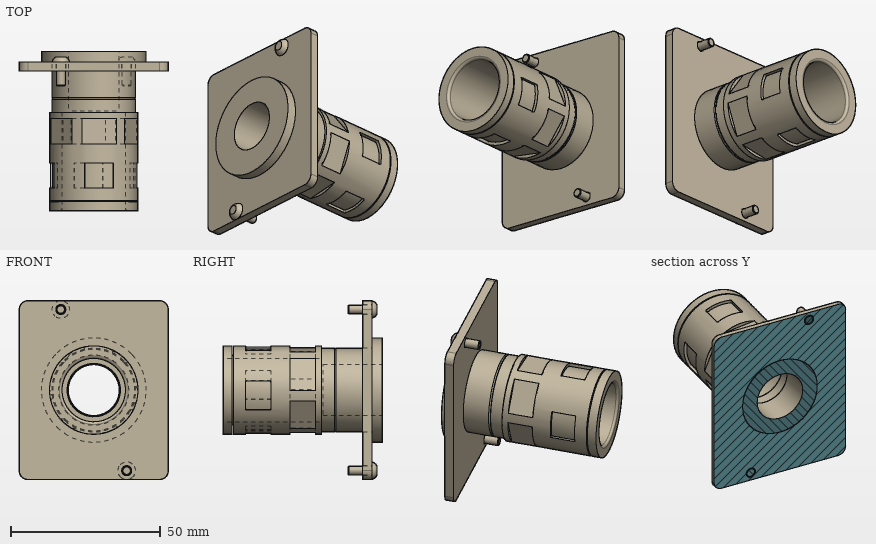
import cadquery as cq
import math


PLATE_WIDTH = 50.0
PLATE_HEIGHT = 60.0
PLATE_THICKNESS = 3.1
PLATE_CORNER_RADIUS = 3.0

TUBE_RADIUS = 14.05
TUBE_END_Y = -9.5
TUBE_CHAMFER_LENGTH = 0.6
TUBE_CHAMFER_DEPTH = 0.35
FLANGE_RADIUS = 17.5
FLANGE_THICKNESS = 3.5

PASSAGE_RADIUS = 8.5

SCREW_X = 11.05
SCREW_Z = 27.0
SHANK_RADIUS = 1.5
SHANK_TIP_Y = -4.9
SHANK_CHAMFER = 0.25
SCREW_HOLE_RADIUS = 1.7
HEAD_RADIUS = 2.95
HEAD_TOP_RADIUS = 1.55
HEAD_HEIGHT = 1.7
HEAD_BULGE = 0.2

COLLAR_RADIUS = TUBE_RADIUS
SLEEVE_START_Y = -13.8
SLEEVE_RADIUS = 14.8
GROOVE_START_Y = -43.4
GROOVE_WIDTH = 0.35
GROOVE_RADIUS = 11.75
PLUG_END_Y = -46.8
PLUG_TURN = 7.5

BORE_RADIUS = 10.6
BORE_MOUTH_FILLET = 0.9
BORE_FLOOR_Y = SLEEVE_START_Y
PASSAGE_CHAMFER = 0.4

FLAT_COUNT = 6
FLAT_START_Y = -15.9
FLAT_LENGTH = 8.5
FLAT_APOTHEM = 13.6
POCKET_COUNT = 4
POCKET_START_Y = -30.8
POCKET_LENGTH = 8.45
POCKET_WIDTH = 9.7
POCKET_FLOOR_RADIUS = 13.75
POCKET_CORNER_RADIUS = 0.35


def rod(radius, start_y, end_y):
    """Cylinder on the Y axis running from start_y towards -Y, down to end_y."""
    return cq.Workplane("XZ", origin=(0, start_y, 0)).circle(radius).extrude(start_y - end_y)


def turned(profile):
    """Solid of revolution about the Y axis from a closed (radius, y) profile."""
    return profile.close().revolve(360, (0, 0, 0), (0, 1, 0))


def make_plate():
    plate = (
        cq.Workplane("XZ")
        .rect(PLATE_WIDTH, PLATE_HEIGHT)
        .extrude(-PLATE_THICKNESS)
        .edges("|Y")
        .fillet(PLATE_CORNER_RADIUS)
    )
    plate = plate.cut(rod(TUBE_RADIUS, PLATE_THICKNESS, 0))
    for side in (-1, 1):
        screw_hole = rod(SCREW_HOLE_RADIUS, PLATE_THICKNESS, 0)
        plate = plate.cut(screw_hole.translate((side * SCREW_X, 0, -side * SCREW_Z)))
    return plate


def make_receptacle():
    flange_back_y = PLATE_THICKNESS + FLANGE_THICKNESS
    profile = (
        cq.Workplane("XY")
        .moveTo(PASSAGE_RADIUS, flange_back_y)
        .lineTo(FLANGE_RADIUS, flange_back_y)
        .lineTo(FLANGE_RADIUS, PLATE_THICKNESS)
        .lineTo(TUBE_RADIUS, PLATE_THICKNESS)
        .lineTo(TUBE_RADIUS, TUBE_END_Y + TUBE_CHAMFER_LENGTH)
        .lineTo(TUBE_RADIUS - TUBE_CHAMFER_DEPTH, TUBE_END_Y)
        .lineTo(PASSAGE_RADIUS, TUBE_END_Y)
    )
    return turned(profile)


def make_screw(side):
    """Screw at the upper left (side = -1) or the lower right (side = 1) of the plate."""
    head_top_y = PLATE_THICKNESS + HEAD_HEIGHT
    dome_middle = (
        (HEAD_RADIUS + HEAD_TOP_RADIUS) / 2 + HEAD_BULGE,
        PLATE_THICKNESS + HEAD_HEIGHT / 2 + HEAD_BULGE,
    )
    profile = (
        cq.Workplane("XY")
        .moveTo(0, SHANK_TIP_Y)
        .lineTo(SHANK_RADIUS - SHANK_CHAMFER, SHANK_TIP_Y)
        .lineTo(SHANK_RADIUS, SHANK_TIP_Y + SHANK_CHAMFER)
        .lineTo(SHANK_RADIUS, PLATE_THICKNESS)
        .lineTo(HEAD_RADIUS, PLATE_THICKNESS)
        .threePointArc(dome_middle, (HEAD_TOP_RADIUS, head_top_y))
        .lineTo(0, head_top_y)
    )
    return turned(profile).translate((side * SCREW_X, 0, -side * SCREW_Z))


def make_plug_blank():
    """Plug without flats and pockets: collar, sleeve, groove, end ring and stepped bore."""
    groove_end_y = GROOVE_START_Y - GROOVE_WIDTH
    fillet_middle = BORE_MOUTH_FILLET * (1 - math.sqrt(0.5))
    profile = (
        cq.Workplane("XY")
        .moveTo(PASSAGE_RADIUS, TUBE_END_Y)
        .lineTo(COLLAR_RADIUS, TUBE_END_Y)
        .lineTo(COLLAR_RADIUS, SLEEVE_START_Y)
        .lineTo(SLEEVE_RADIUS, SLEEVE_START_Y)
        .lineTo(SLEEVE_RADIUS, GROOVE_START_Y)
        .lineTo(GROOVE_RADIUS, GROOVE_START_Y)
        .lineTo(GROOVE_RADIUS, groove_end_y)
        .lineTo(SLEEVE_RADIUS, groove_end_y)
        .lineTo(SLEEVE_RADIUS, PLUG_END_Y)
        .lineTo(BORE_RADIUS + BORE_MOUTH_FILLET, PLUG_END_Y)
        .threePointArc(
            (BORE_RADIUS + fillet_middle, PLUG_END_Y + fillet_middle),
            (BORE_RADIUS, PLUG_END_Y + BORE_MOUTH_FILLET),
        )
        .lineTo(BORE_RADIUS, BORE_FLOOR_Y)
        .lineTo(PASSAGE_RADIUS + PASSAGE_CHAMFER, BORE_FLOOR_Y)
        .lineTo(PASSAGE_RADIUS, BORE_FLOOR_Y + PASSAGE_CHAMFER)
    )
    return turned(profile)


def make_flats_cutter():
    """Ring with a hexagonal opening that shaves the spanner flats off the sleeve."""
    corner_diameter = 2 * FLAT_APOTHEM / math.cos(math.pi / FLAT_COUNT)
    ring = rod(corner_diameter, FLAT_START_Y, FLAT_START_Y - FLAT_LENGTH)
    hexagon = (
        cq.Workplane("XZ", origin=(0, FLAT_START_Y, 0))
        .polygon(FLAT_COUNT, corner_diameter)
        .extrude(FLAT_LENGTH)
    )
    return ring.cut(hexagon)


def make_pocket_cutter():
    """Round-cornered block facing +Z with a cylindrical floor about the plug axis."""
    pocket_end_y = POCKET_START_Y - POCKET_LENGTH
    block = (
        cq.Workplane("XY", origin=(0, (POCKET_START_Y + pocket_end_y) / 2, 0))
        .rect(POCKET_WIDTH, POCKET_LENGTH)
        .extrude(SLEEVE_RADIUS)
        .edges("|Z")
        .fillet(POCKET_CORNER_RADIUS)
    )
    return block.cut(rod(POCKET_FLOOR_RADIUS, POCKET_START_Y, pocket_end_y))


def make_plug():
    plug = make_plug_blank().cut(make_flats_cutter())
    pocket = make_pocket_cutter()
    for index in range(POCKET_COUNT):
        angle = index * 360 / POCKET_COUNT
        plug = plug.cut(pocket.rotate((0, 0, 0), (0, 1, 0), angle))
    return plug.rotate((0, 0, 0), (0, 1, 0), PLUG_TURN)


plate = make_plate()
receptacle = make_receptacle()
screws = [make_screw(side) for side in (-1, 1)]
plug = make_plug()

result = cq.Compound.makeCompound(
    [plate.val(), receptacle.val(), *[screw.val() for screw in screws], plug.val()]
)